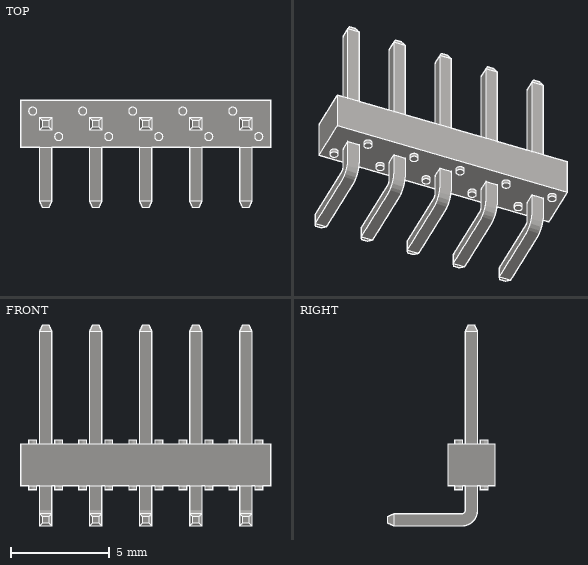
import cadquery as cq

pin_count = 5
pitch = 2.54

housing_length = pin_count * pitch
housing_depth = 2.4
housing_height = 2.13

bump_diameter = 0.41
bump_height = 0.2
bump_offset_x = 0.66
bump_offset_y = 0.65

pin_width = 0.64
pin_rise = 6.05
pin_drop = 2.05
overall_depth = 5.46
bend_inner_radius = 0.17
tip_length = 0.33
tip_width = 0.33

pin_reach = overall_depth - housing_depth / 2
bend_radius = bend_inner_radius + pin_width / 2
pin_top = housing_height / 2 + pin_rise
leg_axis_z = -housing_height / 2 - pin_drop + pin_width / 2
shank_top = pin_top - tip_length
bend_start_z = leg_axis_z + bend_radius
leg_end_y = -pin_reach + tip_length

pin_positions = [(i - (pin_count - 1) / 2) * pitch for i in range(pin_count)]


def make_bumps(face_z, height):
    """Bumps for every pin, extruded up or down from the housing face at face_z."""
    centers = []
    for x in pin_positions:
        centers.append((x - bump_offset_x, bump_offset_y))
        centers.append((x + bump_offset_x, -bump_offset_y))
    face = cq.Workplane("XY").workplane(offset=face_z)
    return face.pushPoints(centers).circle(bump_diameter / 2).extrude(height)


def make_housing():
    """Bar with a square through hole for each pin and bumps on both faces."""
    bar = cq.Workplane("XY").box(housing_length, housing_depth, housing_height)
    holes = (
        cq.Workplane("XY")
        .pushPoints([(x, 0) for x in pin_positions])
        .rect(pin_width, pin_width)
        .extrude(housing_height / 2, both=True)
    )
    top_bumps = make_bumps(housing_height / 2, bump_height)
    bottom_bumps = make_bumps(-housing_height / 2, -bump_height)
    return bar.cut(holes).union(top_bumps).union(bottom_bumps)


def make_tip(plane):
    """Four-sided taper that starts on the given plane and points along its normal."""
    return (
        cq.Workplane(plane)
        .rect(pin_width, pin_width)
        .workplane(offset=tip_length)
        .rect(tip_width, tip_width)
        .loft(ruled=True)
    )


def make_pin(x):
    """One bent pin with its upright shank centred at x."""
    axis = (
        cq.Workplane("YZ", origin=(x, 0, 0))
        .moveTo(0, shank_top)
        .lineTo(0, bend_start_z)
        .radiusArc((-bend_radius, leg_axis_z), bend_radius)
        .lineTo(leg_end_y, leg_axis_z)
    )
    top_plane = cq.Plane(origin=(x, 0, shank_top), xDir=(1, 0, 0), normal=(0, 0, 1))
    leg_plane = cq.Plane(origin=(x, leg_end_y, leg_axis_z), xDir=(1, 0, 0), normal=(0, -1, 0))
    wire = cq.Workplane(top_plane).rect(pin_width, pin_width).sweep(axis)
    return wire.union(make_tip(top_plane)).union(make_tip(leg_plane))


housing = make_housing()
pins = [make_pin(x) for x in pin_positions]

result = cq.Compound.makeCompound([housing.solids().val(), *[pin.solids().val() for pin in pins]])